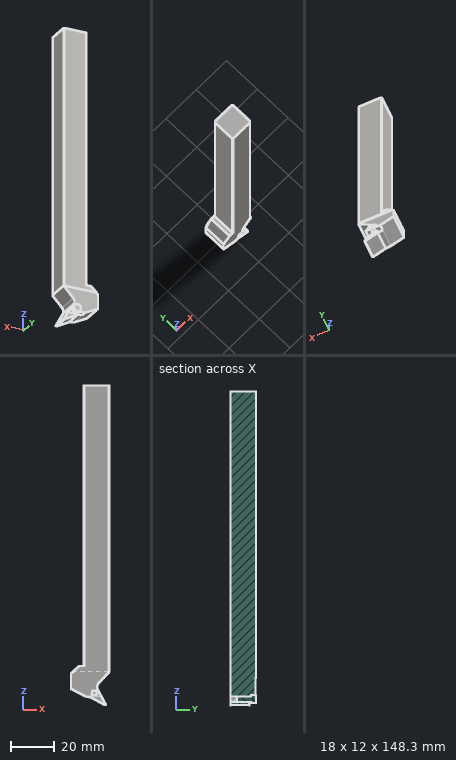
import cadquery as cq


TOTAL_LENGTH = 148.3
SHANK_SIZE = 12.0
SHANK_RIGHT = 18.0
SHANK_LEFT = SHANK_RIGHT - SHANK_SIZE
SHANK_MIDDLE = SHANK_RIGHT - SHANK_SIZE / 2
SHANK_BOTTOM = 15.5
SHANK_CHAMFER = 0.5

HEAD_TOP = 18.2
BEVEL_TOP = (3.9, HEAD_TOP)
BEVEL_BOTTOM = (0, 14.7)
SIDE_BOTTOM = (0, 7.5)
HEEL = (6.8, 4.0)
TIP_LOWER_START = (9.3, 3.5)
NOSE_LOWER = (15.9, 0)
NOSE_UPPER = (16.2, 0.3)
THROAT_BOTTOM = (12.3, 7.5)
THROAT_MIDDLE = (12.3, 8.9)
THROAT_TOP = (12.9, 10.2)

BACK_RELIEF = 0.3
TIP_DEPTH = 8.9
TIP_STEP_Z = 4.0

SCREW_CENTER = (10.8, 5.6)
SCREW_DIAMETER = 2.2
SCREW_HEAD_DIAMETER = 3.5
SCREW_HEAD_HEIGHT = 2.2
SCREW_RECESS = 3.0
SCREW_HEAD_START = SHANK_SIZE - SCREW_HEAD_HEIGHT


def cylinder_along_y(diameter, start, end):
    """Cylinder on the screw axis between two Y positions."""
    return (
        cq.Workplane("XZ", origin=(0, start, 0))
        .center(*SCREW_CENTER)
        .circle(diameter / 2)
        .extrude(start - end)
    )


def stepped_cylinder(start):
    """Screw stem from the given Y position, with its head at the back."""
    stem = cylinder_along_y(SCREW_DIAMETER, start, SCREW_HEAD_START)
    head = cylinder_along_y(SCREW_HEAD_DIAMETER, SCREW_HEAD_START, SHANK_SIZE)
    return stem.union(head)


def make_shank():
    return (
        cq.Workplane("XY", origin=(SHANK_LEFT, 0, SHANK_BOTTOM))
        .rect(SHANK_SIZE, SHANK_SIZE, centered=False)
        .extrude(TOTAL_LENGTH - SHANK_BOTTOM)
        .edges("|Z")
        .chamfer(SHANK_CHAMFER)
    )


def back_cut(depth, top):
    """Block that removes all material behind the given depth, up to the given height."""
    return cq.Workplane("XY", origin=(0, depth, 0)).box(
        SHANK_RIGHT, SHANK_SIZE - depth, top, centered=False
    )


def make_head():
    outline = (
        cq.Workplane("XZ")
        .moveTo(SHANK_MIDDLE, HEAD_TOP)
        .lineTo(*BEVEL_TOP)
        .lineTo(*BEVEL_BOTTOM)
        .lineTo(*SIDE_BOTTOM)
        .lineTo(*HEEL)
        .lineTo(*TIP_LOWER_START)
        .lineTo(*NOSE_LOWER)
        .lineTo(*NOSE_UPPER)
        .lineTo(*THROAT_BOTTOM)
        .threePointArc(THROAT_MIDDLE, THROAT_TOP)
        .lineTo(SHANK_RIGHT, SHANK_BOTTOM)
        .lineTo(SHANK_MIDDLE, SHANK_BOTTOM)
        .close()
    )
    head = outline.extrude(-SHANK_SIZE)
    head = head.cut(back_cut(SHANK_SIZE - BACK_RELIEF, SHANK_BOTTOM))
    return head.cut(back_cut(TIP_DEPTH, TIP_STEP_Z))


def make_holder():
    screw_hole = stepped_cylinder(0)
    return make_shank().union(make_head()).cut(screw_hole).solids()


def make_screw():
    return stepped_cylinder(SCREW_RECESS).solids()


holder = make_holder()
screw = make_screw()

result = cq.Compound.makeCompound([holder.val(), screw.val()])